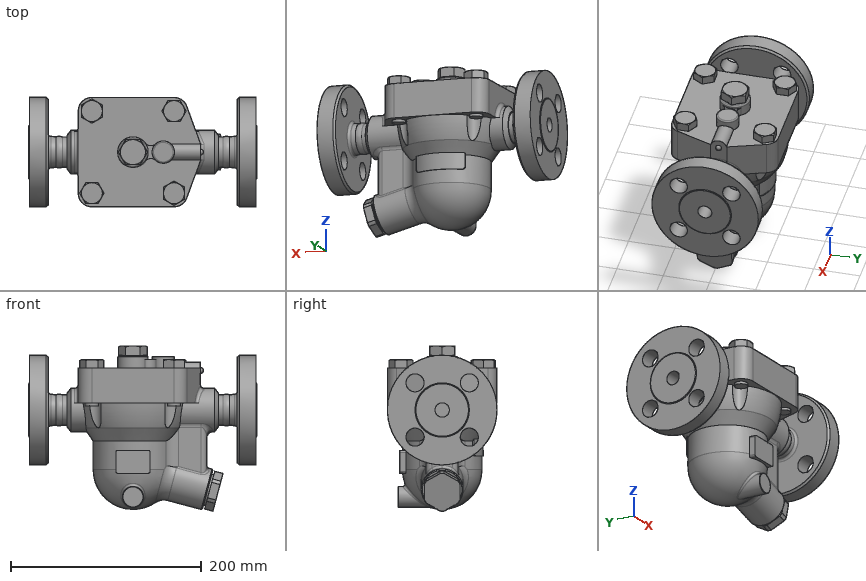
import cadquery as cq
import math


tolerance = 0.2

length = 239.0
flange_dia = 115.0
flange_thickness = 19.8
flange_chamfer = 2.2
face_dia = 57.0
face_height = 0.7
face_edge = 1.0
flange_hole_dia = 19.0
flange_hole_offset = 28.5
bore_dia = 15.0
bore_depth = 44.2
neck_dia = 32.0
hub_dia = 38.7
hub_fillet_end = 95.8
hub_fillet_dia = 33.5
weld_outer_x = 91.0
weld_inner_x = 84.1
weld_height = 0.7
cone_start_x = 79.5
cone_start_dia = 34.5
cone_end_x = 75.3
pipe_dia = 46.0

body_x = -10.3
bolt_offset = 43.0
corner_radius = 14.3
tip_x = 60.5
tip_half_width = 8.8
body_flange_bottom = 7.2
joint_z = 27.2
cover_top = 44.0
pipe_fillet = 3.8

bolt_flats = 22.0
bolt_head_height = 8.8
head_bevel_angle = 30.0
bolt_shank_dia = 14.0
bolt_end_z = 4.3
bolt_recess_dia = 19.4
bolt_turn = 30.0
bolt_places = [
    (body_x + side * bolt_offset, end * bolt_offset, 0.0 if side == end else bolt_turn)
    for side in (-1, 1)
    for end in (-1, 1)
]

boss_top = 56.2
boss_edge_radius = 1.5
plug_boss_dia = 32.0
valve_boss_x = 21.5
valve_boss_dia = 23.5
waist_radius = 7.6
waist_top = 53.0
plug_flats = 26.3
plug_head_base = 57.1
plug_head_height = 10.0
plug_collar_dia = 22.0
channel_z = 41.3
channel_radius = tip_half_width
pin_radius = 3.0

shoulder_top_radius = 56.6
shoulder_radius = 51.1
shoulder_bulge = 1.0
shoulder_z = -18.6
bowl_top_z = -32.3
bowl_radius = 41.8
bowl_center_z = -62.4

rib_half_width = 16.7
rib_end_x = 67.2
rib_corner = 6.0
rib_flank_radius = 16.0
rib_pipe_fillet = 6.5
rib_boss_fillet = 3.0
rib_bottom_z = -71.5

screen_angle = 15.0
screen_dia = 44.0
screen_fillet = 16.0
screen_length = 81.0
screen_edge = 1.2
screen_collar_dia = 33.5
screen_hex_start = 83.2
screen_hex_height = 9.0
screen_flats = 37.5
screen_hex_dia = 41.0

drain_dia = 22.0
drain_chamfer = 0.5
drain_z = -91.0
drain_face_y = -46.1
drain_fillet = 2.5
pad_corner = 2.2
pad_size = (35.8, 24.1)
pad_z = -54.3
pad_y = 44.7

back_plate_width = 54.5
back_plate_bottom = -48.3
back_plate_corner = 3.5
back_plate_radius = 43.0


def cylinder_z(x, y, dia, bottom, top):
    return cq.Workplane("XY", origin=(x, y, bottom)).circle(dia / 2).extrude(top - bottom)


def cylinder_x(dia, start, end, z=0.0):
    return cq.Workplane("YZ", origin=(start, 0, z)).circle(dia / 2).extrude(end - start)


def blend_arc(half_width, blend_radius):
    """Concave arc tangent to a straight side at half_width and to the bowl circle, centred at 0, 0.

    Returns its points on the straight side, midway and on the bowl.
    """
    reach = bowl_radius + blend_radius
    center_y = half_width + blend_radius
    center_x = math.sqrt(reach**2 - center_y**2)
    angle = (math.atan2(center_y, center_x) + math.pi / 2) / 2
    on_side = (center_x, half_width)
    middle = (center_x - blend_radius * math.cos(angle), center_y - blend_radius * math.sin(angle))
    on_bowl = (center_x * bowl_radius / reach, center_y * bowl_radius / reach)
    return on_side, middle, on_bowl


def below_axis(point):
    """Mirror image of a profile point across its X axis."""
    return (point[0], -point[1])


def hex_prism(plane, flats, height, turn=0.0):
    corner_dia = 2 * flats / math.sqrt(3)
    return cq.Workplane(plane).transformed(rotate=(0, 0, turn)).polygon(6, corner_dia).extrude(height)


def hex_head(x, y, z, flats, height, turn=0.0):
    """Upright hexagonal head, its upper corners bevelled by a cone."""
    plane = cq.Plane((x, y, z))
    corner_reach = flats / math.sqrt(3)
    overhang = corner_reach - flats / 2
    bevel = overhang * math.tan(math.radians(head_bevel_angle))
    envelope = cq.Workplane(plane).circle(corner_reach).extrude(height).faces(">Z").chamfer(bevel, overhang)
    return hex_prism(plane, flats, height, turn).intersect(envelope)


def pipe_end():
    """Flange, welded neck and pipe on the +X side, and the bore to be cut from it."""
    flange_outer = length / 2 - face_height
    flange_inner = flange_outer - flange_thickness
    weld_mid = (weld_outer_x + weld_inner_x) / 2
    end = (
        cq.Workplane("XY")
        .moveTo(0, 0)
        .lineTo(length / 2, 0)
        .lineTo(length / 2, face_dia / 2 - face_edge)
        .lineTo(flange_outer, face_dia / 2)
        .lineTo(flange_outer, flange_dia / 2)
        .lineTo(flange_inner + flange_chamfer, flange_dia / 2)
        .lineTo(flange_inner, flange_dia / 2 - flange_chamfer)
        .lineTo(flange_inner, hub_dia / 2)
        .tangentArcPoint((hub_fillet_end, hub_fillet_dia / 2), relative=False)
        .lineTo(weld_outer_x, neck_dia / 2)
        .threePointArc((weld_mid, neck_dia / 2 + weld_height), (weld_inner_x, neck_dia / 2))
        .lineTo(cone_start_x, neck_dia / 2)
        .lineTo(cone_start_x, cone_start_dia / 2)
        .lineTo(cone_end_x, pipe_dia / 2)
        .lineTo(0, pipe_dia / 2)
        .close()
        .revolve(360, (0, 0, 0), (1, 0, 0))
    )
    holes = (
        cq.Workplane("YZ", origin=(flange_inner, 0, 0))
        .rect(2 * flange_hole_offset, 2 * flange_hole_offset, forConstruction=True)
        .vertices()
        .circle(flange_hole_dia / 2)
        .extrude(flange_thickness)
    )
    bore = cylinder_x(bore_dia, length / 2 - bore_depth, length / 2)
    return end.cut(holes), bore


def cover_outline(bottom, top):
    """Square plate with rounded corners whose +X side tapers to a blunt tip."""
    left = body_x - bolt_offset - corner_radius
    half = bolt_offset + corner_radius
    bolt_right = body_x + bolt_offset
    dx = tip_x - bolt_right
    dy = bolt_offset - tip_half_width
    slope = math.acos(corner_radius / math.hypot(dx, dy)) - math.atan2(dy, dx)

    def on_right_arc(angle):
        return (bolt_right + corner_radius * math.cos(angle), bolt_offset + corner_radius * math.sin(angle))

    tangent = on_right_arc(slope)
    middle = on_right_arc((slope + math.pi / 2) / 2)
    diagonal = corner_radius * (1 - math.sqrt(0.5))
    return (
        cq.Workplane("XY", origin=(0, 0, bottom))
        .moveTo(tip_x, -tip_half_width)
        .lineTo(tip_x, tip_half_width)
        .lineTo(*tangent)
        .threePointArc(middle, (bolt_right, half))
        .lineTo(left + corner_radius, half)
        .threePointArc((left + diagonal, half - diagonal), (left, half - corner_radius))
        .lineTo(left, -half + corner_radius)
        .threePointArc((left + diagonal, -half + diagonal), (left + corner_radius, -half))
        .lineTo(bolt_right, -half)
        .threePointArc(below_axis(middle), below_axis(tangent))
        .close()
        .extrude(top - bottom)
    )


def body_flange():
    """Lower plate with fillets where the pipe passes through its end walls."""
    lowest = -pipe_dia
    pipe = cylinder_x(pipe_dia, -cone_end_x, cone_end_x)
    plate = cover_outline(lowest, joint_z).union(pipe)
    pipe_radius = pipe_dia / 2 + tolerance
    at_pipe = cq.selectors.BoxSelector(
        (-cone_end_x + tolerance, -pipe_radius, -pipe_radius),
        (cone_end_x - tolerance, pipe_radius, pipe_radius),
        boundingbox=True,
    )
    plate = plate.edges(at_pipe).fillet(pipe_fillet)
    below = cylinder_z(0, 0, length, lowest, body_flange_bottom)
    return plate.cut(below)


def waist():
    """Narrow bridge between the two cover bosses, with sides tangent to both."""
    r1 = plug_boss_dia / 2
    r2 = valve_boss_dia / 2
    span = valve_boss_x - body_x
    d1 = r1 + waist_radius
    d2 = r2 + waist_radius
    along = (d1**2 - d2**2 + span**2) / (2 * span)
    across = math.sqrt(d1**2 - along**2)
    start = (body_x + along * r1 / d1, across * r1 / d1)
    end = (valve_boss_x - (span - along) * r2 / d2, across * r2 / d2)
    middle = (body_x + along, across - waist_radius)
    return (
        cq.Workplane("XY", origin=(0, 0, cover_top))
        .moveTo(body_x, start[1])
        .lineTo(*start)
        .threePointArc(middle, end)
        .lineTo(valve_boss_x, end[1])
        .lineTo(valve_boss_x, -end[1])
        .lineTo(*below_axis(end))
        .threePointArc(below_axis(middle), below_axis(start))
        .lineTo(body_x, -start[1])
        .close()
        .extrude(waist_top - cover_top)
    )


def cover_boss(x, dia):
    return cylinder_z(x, 0, dia, cover_top, boss_top).faces(">Z").edges().fillet(boss_edge_radius)


def cover_details():
    """Bosses on the cover with their bridge, plug and the channel running to the tip."""
    bosses = cover_boss(body_x, plug_boss_dia).union(cover_boss(valve_boss_x, valve_boss_dia)).union(waist())
    collar = cylinder_z(body_x, 0, plug_collar_dia, cover_top, plug_head_base)
    plug = hex_head(body_x, 0, plug_head_base, plug_flats, plug_head_height)
    channel = cylinder_x(2 * channel_radius, valve_boss_x, tip_x, channel_z)
    pin = cq.Workplane("XY", origin=(tip_x, 0, channel_z)).sphere(pin_radius)
    return bosses.union(collar).union(plug).union(channel).union(pin)


def shoulder():
    """Flared top of the bowl with a vertical recess around the end of each cover bolt."""
    middle_z = (shoulder_z + body_flange_bottom) / 2
    middle_radius = (shoulder_radius + shoulder_top_radius) / 2 + shoulder_bulge
    flare = (
        cq.Workplane("XZ", origin=(body_x, 0, 0))
        .moveTo(0, shoulder_z)
        .lineTo(shoulder_radius, shoulder_z)
        .threePointArc((middle_radius, middle_z), (shoulder_top_radius, body_flange_bottom))
        .lineTo(0, body_flange_bottom)
        .close()
        .revolve(360, (0, 0, 0), (0, 1, 0))
    )
    for x, y, _ in bolt_places:
        flare = flare.cut(cylinder_z(x, y, bolt_recess_dia, shoulder_z, body_flange_bottom))
    return flare


def bowl():
    return (
        cq.Workplane("XZ", origin=(body_x, 0, 0))
        .moveTo(0, shoulder_z)
        .lineTo(shoulder_radius, shoulder_z)
        .lineTo(bowl_radius, bowl_top_z)
        .lineTo(bowl_radius, bowl_center_z)
        .radiusArc((0, bowl_center_z - bowl_radius), bowl_radius)
        .close()
        .revolve(360, (0, 0, 0), (0, 1, 0))
    )


def rib_flanks():
    """Concave flanks blending the bowl wall into the straight sides of the rib."""
    on_side, middle, on_bowl = blend_arc(rib_half_width, rib_flank_radius)
    return (
        cq.Workplane("XY", origin=(body_x, 0, rib_bottom_z))
        .moveTo(0, on_bowl[1])
        .lineTo(*on_bowl)
        .threePointArc(middle, on_side)
        .lineTo(*below_axis(on_side))
        .threePointArc(below_axis(middle), below_axis(on_bowl))
        .lineTo(0, -on_bowl[1])
        .close()
        .extrude(-rib_bottom_z)
    )


def web(boss):
    """Straight part of the rib, filleted to the pipe above it and to the screen boss below it."""
    plate_length = rib_end_x - body_x
    plate = (
        cq.Workplane("XY", origin=(body_x + plate_length / 2, 0, rib_bottom_z))
        .rect(plate_length, 2 * rib_half_width)
        .extrude(-rib_bottom_z)
        .edges("|Z and >X")
        .fillet(rib_corner)
    )
    pipe = cylinder_x(pipe_dia, body_x, cone_end_x)
    at_pipe = cq.selectors.BoxSelector(
        (body_x + tolerance, -pipe_dia / 2, -pipe_dia / 2 - tolerance),
        (cone_end_x - tolerance, pipe_dia / 2, -pipe_dia / 4),
    )
    at_boss = cq.selectors.BoxSelector(
        (body_x + bowl_radius / 2, -rib_half_width - tolerance, rib_bottom_z),
        (rib_end_x + tolerance, rib_half_width + tolerance, rib_bottom_z + screen_dia / 2),
    )
    joined = plate.union(pipe).edges(at_pipe).fillet(rib_pipe_fillet)
    return joined.union(boss).edges(at_boss).fillet(rib_boss_fillet)


def screen_axis(distance):
    """Plane square to the screen axis at a distance from the bowl centre."""
    angle = math.radians(screen_angle)
    across = math.cos(angle)
    down = math.sin(angle)
    origin = (body_x + distance * across, 0, bowl_center_z - distance * down)
    return cq.Plane(origin, xDir=(down, 0, across), normal=(across, 0, -down))


def screen_boss():
    """Inclined boss with a concave blend at its root, and the hexagonal plug in its end."""
    radius = screen_dia / 2
    on_side, middle, on_bowl = blend_arc(radius, screen_fillet)
    base = screen_axis(0)
    side = cq.Plane(base.origin, xDir=base.zDir, normal=(0, -1, 0))
    boss = (
        cq.Workplane(side)
        .lineTo(on_bowl[0], 0)
        .lineTo(screen_length, 0)
        .lineTo(screen_length, radius - screen_edge)
        .lineTo(screen_length - screen_edge, radius)
        .lineTo(*on_side)
        .threePointArc(middle, on_bowl)
        .close()
        .revolve(360, (0, 0, 0), (1, 0, 0))
    )
    collar = cq.Workplane(base).circle(screen_collar_dia / 2).extrude(screen_hex_start)
    hex_plane = screen_axis(screen_hex_start)
    turned = cq.Workplane(hex_plane).circle(screen_hex_dia / 2).extrude(screen_hex_height)
    plug = hex_prism(hex_plane, screen_flats, screen_hex_height).intersect(turned)
    return boss, collar.union(plug)


def bowl_with_drain():
    drain = (
        cq.Workplane("XZ", origin=(body_x, 0, drain_z))
        .circle(drain_dia / 2)
        .extrude(-drain_face_y)
        .faces("<Y")
        .chamfer(drain_chamfer)
    )
    around_root = cq.selectors.BoxSelector(
        (body_x - drain_dia, drain_face_y + drain_fillet, drain_z - drain_dia),
        (body_x + drain_dia, 0, drain_z + drain_dia),
        boundingbox=True,
    )
    return bowl().union(drain).edges(around_root).fillet(drain_fillet)


def name_pad():
    width, height = pad_size
    block = cq.Workplane("XY").box(width, pad_y, height).edges("|Y").fillet(pad_corner)
    return block.translate((body_x, -pad_y / 2, pad_z))


def back_plate():
    """Raised plate following the round of the bowl on its +Y side, running up into the shoulder."""
    height = shoulder_z - back_plate_bottom
    block = (
        cq.Workplane("XY")
        .box(back_plate_width, back_plate_radius, height)
        .edges("|Y and <Z")
        .fillet(back_plate_corner)
        .translate((body_x, back_plate_radius / 2, back_plate_bottom + height / 2))
    )
    return block.intersect(cylinder_z(body_x, 0, 2 * back_plate_radius, back_plate_bottom, shoulder_z))


outlet, outlet_bore = pipe_end()
inlet = outlet.mirror("YZ")
inlet_bore = outlet_bore.mirror("YZ")
screen, screen_plug = screen_boss()

result = bowl_with_drain().union(rib_flanks()).union(web(screen)).union(screen)
result = result.union(shoulder()).union(outlet).union(inlet)
result = result.union(body_flange()).union(cover_outline(joint_z, cover_top)).union(cover_details())
result = result.union(screen_plug).union(name_pad()).union(back_plate())

for x, y, turn in bolt_places:
    result = result.union(hex_head(x, y, cover_top, bolt_flats, bolt_head_height, turn))
    result = result.union(cylinder_z(x, y, bolt_shank_dia, bolt_end_z, joint_z))

result = result.cut(outlet_bore).cut(inlet_bore)